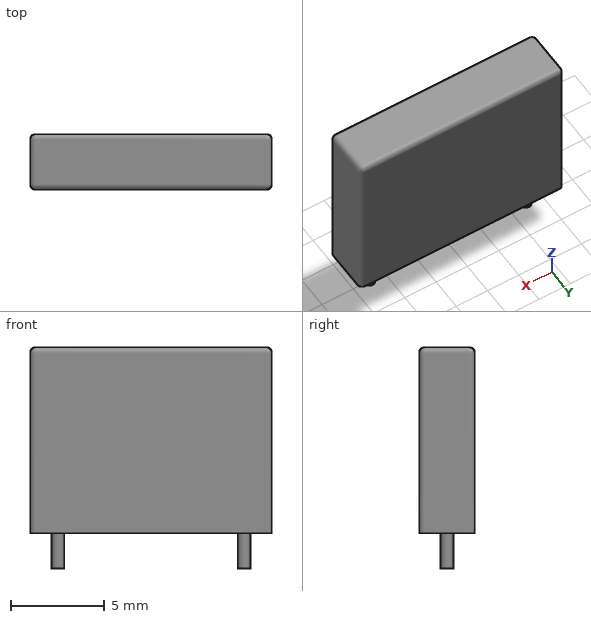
import cadquery as cq

body_length = 13.0
body_width = 3.0
body_height = 10.0
edge_radius = 0.3

pin_diameter = 0.7
pin_length = 1.9
pin_pitch = 10.0


def make_body():
    """Box with rounded vertical and top edges and a sharp bottom rim."""
    box = cq.Workplane("XY").box(
        body_length, body_width, body_height, centered=(True, True, False)
    )
    return box.edges("|Z or >Z").fillet(edge_radius)


def make_pins():
    """Two round leads hanging from the underside of the body."""
    return (
        cq.Workplane("XY")
        .pushPoints([(-pin_pitch / 2, 0), (pin_pitch / 2, 0)])
        .circle(pin_diameter / 2)
        .extrude(-pin_length)
    )


result = make_body().union(make_pins())